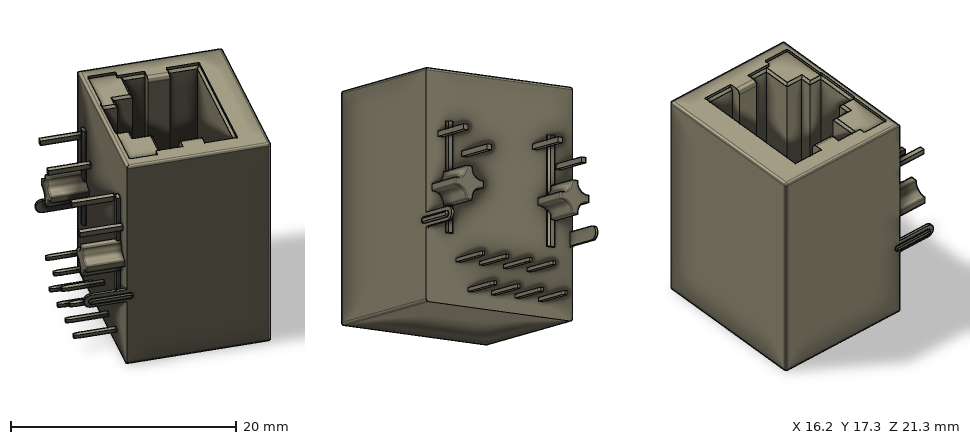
import cadquery as cq
import math


overall_width = 16.24
box_width = 15.83
box_depth = 13.35
box_height = 21.25
edge_radius = 0.25
sheet = 0.25

opening_half_width = 6.18
opening_back = 10.73
opening_front = 0.57
wide_half_width = 6.78
wide_back = 3.17
window_corner_radius = 0.13
key_shoulder = 3.48
key_half_width = 3.38
key_bottom = 1.76
latch_half_width = 2.25
latch_bottom = 0.49
lead_in = 0.23
socket_depth = 12.75

guide_half_gap = 5.0
guide_front = 5.67
guide_back = 7.7
guide_radius = 0.47

pin_tip = 3.95
embed = 0.21
pin_pitch = 1.28
contact_count = 8
contact_width = 0.42
contact_height = 0.35
contact_rows_z = (4.12, 1.57)
contact_taper_length = 0.42
contact_taper = 0.08

led_pin_size = 0.49
led_upper_z = 15.35
led_lower_z = 13.81
led_inner_x = 3 * pin_pitch
led_outer_x = 5 * pin_pitch

peg_x = 5.72
peg_z = 10.43
peg_length = 3.57
peg_reach = 1.55
peg_arm_half = 0.36
peg_waist = 0.65
peg_edge_radius = 0.1

rail_outer_x = 5.85
rail_width = 0.75
rail_height = 0.35
rail_inner_chamfer = 0.2
rail_outer_chamfer = 0.1
rail_bottom = 6.45
rail_top = 16.55

leg_z = 7.44
leg_width = 1.28
leg_root_fillet = 0.15
bead_z = 7.4
bead_width = 0.6
bead_top = 0.57
bead_bottom = -3.53
bead_height = (overall_width - box_width) / 2
bead_slope_height = 0.1
bead_slope_inset = 0.15


def box_between(x, y, z):
    """Box spanning the given (low, high) pairs."""
    size = (x[1] - x[0], y[1] - y[0], z[1] - z[0])
    return cq.Workplane("XY").box(*size, centered=False).translate((x[0], y[0], z[0]))


def both_sides(part):
    """The part together with its mirror image across X = 0."""
    return part.union(part.mirror("YZ"))


def make_box():
    """Rounded box."""
    body = box_between((-box_width / 2, box_width / 2), (0, box_depth), (0, box_height))
    return body.edges("(>Z) or (>Y) or (<Z and |Y)").fillet(edge_radius)


def socket_outline(inset):
    """Socket outline with its latch key toward -Y, moved inward by inset."""
    half_outline = [
        (opening_half_width - inset, opening_back - inset),
        (opening_half_width - inset, key_shoulder + inset),
        (key_half_width - inset, key_shoulder + inset),
        (key_half_width - inset, key_bottom + inset),
        (latch_half_width - inset, key_bottom + inset),
        (latch_half_width - inset, latch_bottom + inset),
    ]
    return half_outline + [(-x, y) for x, y in reversed(half_outline)]


def make_socket_cut():
    """Window through the shield, then the housing socket with its sloped lead-in."""
    housing_top = box_height - sheet
    sheet_span = (housing_top, box_height)
    opening = box_between(
        (-opening_half_width, opening_half_width), (opening_front, opening_back), sheet_span
    )
    wide_part = box_between(
        (-wide_half_width, wide_half_width), (opening_front, wide_back), sheet_span
    )
    window = opening.union(wide_part).edges("|Z").fillet(window_corner_radius)

    housing_plane = cq.Workplane("XY").workplane(offset=housing_top)
    throat = housing_plane.polyline(socket_outline(0)).close().extrude(sheet)
    funnel = (
        housing_plane.polyline(socket_outline(0))
        .close()
        .workplane(offset=-lead_in)
        .polyline(socket_outline(lead_in))
        .close()
        .loft(ruled=True)
    )
    cavity = housing_plane.polyline(socket_outline(lead_in)).close().extrude(-socket_depth)
    return window.union(throat).union(funnel).union(cavity)


def make_guide():
    """Full-depth guide on a socket side wall, rounded at its top edge."""
    guide = box_between(
        (guide_half_gap, opening_half_width + embed),
        (guide_front, guide_back),
        (box_height - sheet - socket_depth - embed, box_height),
    )
    return guide.edges("<X and >Z").fillet(guide_radius)


def make_contact(x, z):
    """Contact pin whose tip narrows in X."""
    half = contact_width / 2
    taper_start = contact_taper_length - pin_tip
    outline = [
        (x - half, embed),
        (x - half, taper_start),
        (x - half + contact_taper, -pin_tip),
        (x + half - contact_taper, -pin_tip),
        (x + half, taper_start),
        (x + half, embed),
    ]
    base = cq.Workplane("XY").workplane(offset=z - contact_height / 2)
    return base.polyline(outline).close().extrude(contact_height)


def make_led_pin(x, z):
    """Plain square pin."""
    half = led_pin_size / 2
    return box_between((x - half, x + half), (-pin_tip, embed), (z - half, z + half))


def quarter_turned(point, quarters):
    """The point turned about the origin by a number of quarter turns."""
    u, v = point
    for _ in range(quarters):
        u, v = -v, u
    return (u, v)


def make_peg():
    """Locating peg: a four-armed star with concave flanks."""
    star = cq.Workplane("XZ", origin=(peg_x, embed, peg_z)).moveTo(peg_reach, -peg_arm_half)
    for quarter in range(4):
        arm_corner = quarter_turned((peg_reach, peg_arm_half), quarter)
        waist = quarter_turned((peg_waist, peg_waist), quarter)
        next_arm_corner = quarter_turned((peg_arm_half, peg_reach), quarter)
        star = star.lineTo(*arm_corner).threePointArc(waist, next_arm_corner)
    peg = star.close().extrude(peg_length + embed)
    return peg.edges("|Y").fillet(peg_edge_radius).faces("<Y").edges().fillet(peg_edge_radius)


def make_rail():
    """Standoff rail with chamfered long edges."""
    rail = box_between(
        (rail_outer_x - rail_width, rail_outer_x), (-rail_height, embed), (rail_bottom, rail_top)
    )
    rail = rail.edges("<X and <Y").chamfer(rail_inner_chamfer)
    return rail.edges(">X and <Y").chamfer(rail_outer_chamfer)


def make_leg():
    """Round-ended shield leg with a raised bead on its outer face."""
    outer_x = box_width / 2
    leg_radius = leg_width / 2
    tip_centre = leg_radius - pin_tip
    leg_bottom = leg_z - leg_radius
    leg = (
        cq.Workplane("YZ", origin=(outer_x - sheet, 0, 0))
        .moveTo(embed, leg_z + leg_radius)
        .lineTo(tip_centre, leg_z + leg_radius)
        .threePointArc((-pin_tip, leg_z), (tip_centre, leg_bottom))
        .lineTo(-leg_root_fillet, leg_bottom)
        .radiusArc((0, leg_bottom - leg_root_fillet), leg_root_fillet)
        .lineTo(embed, leg_bottom - leg_root_fillet)
        .close()
        .extrude(sheet)
    )
    slope_angle = math.degrees(math.atan(bead_slope_inset / bead_slope_height))
    bead = (
        cq.Workplane("YZ", origin=(outer_x, (bead_top + bead_bottom) / 2, bead_z))
        .slot2D(bead_top - bead_bottom, bead_width)
        .extrude(bead_height - bead_slope_height)
        .faces(">X").wires().toPending()
        .workplane()
        .extrude(bead_slope_height, taper=slope_angle)
    )
    return leg.union(bead)


result = make_box().cut(make_socket_cut())
for side_part in (make_guide(), make_peg(), make_rail(), make_leg()):
    result = result.union(both_sides(side_part))

for index in range(contact_count):
    contact_x = (index - (contact_count - 1) / 2) * pin_pitch
    result = result.union(make_contact(contact_x, contact_rows_z[index % 2]))

for led_x, led_z in (
    (-led_outer_x, led_upper_z),
    (-led_inner_x, led_lower_z),
    (led_inner_x, led_upper_z),
    (led_outer_x, led_lower_z),
):
    result = result.union(make_led_pin(led_x, led_z))